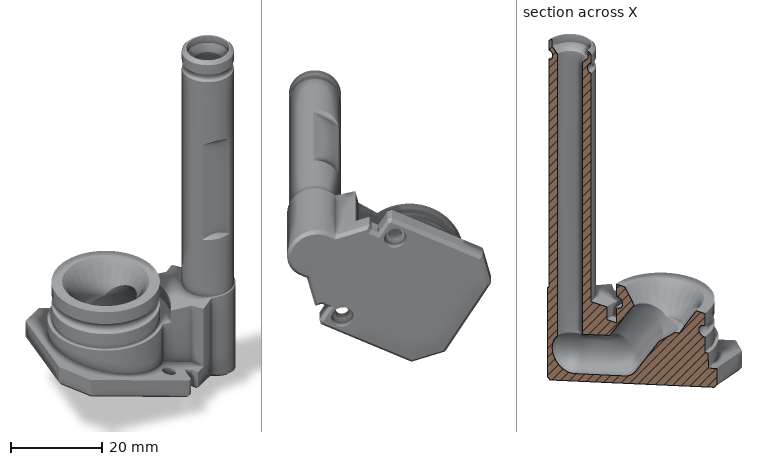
import cadquery as cq
import math

slope = math.radians(15)
total_height = 85.45

plate_half_width = 30.2 / 2
plate_front = -plate_half_width
plate_shoulder = 14.35
front_corner_cut = 5.4
rear_corner_cut = 0.8
notch_x = 10.5
wing_tip_x = 11.5
wing_tip_y = 17.2
plate_thickness = 4.7
edge_chamfer = 0.8

hole_diameter = 3.1
hole_x = 11.2
hole_y = 10.4
counterbore_diameter = 4.95
counterbore_top = 7.3

tube_y = 24.3
tube_radius = 11.45 / 2
tube_top_chamfer = 0.7
collar_height = 3.2
tube_groove_width = 2.05
tube_neck_radius = 9.5 / 2
tube_groove_fillet = 0.8
block_radius = 12.2 / 2
block_top = 23.1
block_neck_half_width = 7.2
block_wide_half_width = 9.2

flat_distance = 9.5 / 2
flat_bottom = 38.2
flat_top = 63.4

cup_top = 29.6
cup_radius = 23.8 / 2
cup_base_radius = 12.8
cup_step_z = 19.9
cup_clearance_radius = 14.35
cup_groove_top = 26.4
cup_groove_width = 2.7
cup_groove_depth = 1.6
mouth_radius = 9.6
throat_radius = 4.95
throat_z = 22.5

channel_radius = 9.5 / 2
channel_entry = (-2.05, 27.0)
channel_knee = (4.1, 21.9)
channel_bend = (10.7, 12.0)
tube_bore_radius = 6.6 / 2
tube_mouth_radius = 9.5 / 2
tube_mouth_depth = 1.9

fall = math.tan(slope)
block_back = tube_y + block_radius
lowest_y = block_back - edge_chamfer * math.cos(slope)
underside_z = lowest_y * fall
plate_top_z = underside_z + plate_thickness / math.cos(slope)


def sloped_slab(bottom_z, top_z):
    """Slab across the part between two planes parallel to the base slope."""
    front = 2 * plate_front
    back = 2 * block_back
    side = [
        (front, bottom_z - front * fall),
        (back, bottom_z - back * fall),
        (back, top_z - back * fall),
        (front, top_z - front * fall),
    ]
    return cq.Workplane("YZ").polyline(side).close().extrude(2 * plate_half_width, both=True)


def above_underside(outline, top):
    """Extrude an outline from the sloped underside up to a flat top."""
    prism = outline.extrude(top + total_height).translate((0, 0, -total_height))
    return prism.intersect(sloped_slab(underside_z, underside_z + 2 * total_height))


def cup_cylinder(radius, bottom, top):
    return cq.Workplane("XY").workplane(offset=bottom).circle(radius).extrude(top - bottom)


def revolve_about(axis_y, profile):
    """Revolve a closed (radius, Z) sketch about the vertical axis at the given Y."""
    return profile.close().revolve(360, (0, 0, 0), (0, 1, 0)).translate((0, axis_y, 0))


wing_line = wing_tip_x + wing_tip_y
wing_start = (block_radius, wing_line - block_radius)


def mirrored_outline(right_side):
    """Close a right-hand run of points, ending at the wing start, round the back of the tube."""
    left_side = [(-x, y) for x, y in reversed(right_side)]
    return (
        cq.Workplane("XY")
        .polyline(right_side)
        .lineTo(block_radius, tube_y)
        .threePointArc((0, block_back), (-block_radius, tube_y))
        .lineTo(*left_side[0])
        .polyline(left_side[1:], includeCurrent=True)
        .close()
    )


def plate():
    outline = mirrored_outline([
        (plate_half_width - front_corner_cut, plate_front),
        (plate_half_width, plate_front + front_corner_cut),
        (plate_half_width, plate_shoulder - rear_corner_cut),
        (plate_half_width - rear_corner_cut, plate_shoulder),
        (notch_x, plate_shoulder),
        (notch_x, wing_tip_y - (wing_tip_x - notch_x)),
        (wing_tip_x, wing_tip_y),
        wing_start,
    ])
    return above_underside(outline, block_top).intersect(sloped_slab(underside_z, plate_top_z))


def foot_block():
    wide_y = wing_line - block_wide_half_width
    neck_y = wide_y - (block_wide_half_width - block_neck_half_width)
    outline = mirrored_outline([
        (block_neck_half_width, 0),
        (block_neck_half_width, neck_y),
        (block_wide_half_width, wide_y),
        wing_start,
    ])
    block = above_underside(outline, block_top)
    return block.cut(cup_cylinder(cup_clearance_radius, cup_step_z, block_top))


def cup():
    base = above_underside(cq.Workplane("XY").circle(cup_base_radius), cup_step_z)
    neck = cup_cylinder(cup_radius, cup_step_z, cup_top)
    return base.union(neck).cut(cup_groove())


def cup_groove():
    """Round-bottomed ring groove."""
    round_radius = cup_groove_width / 2
    bottom = cup_groove_top - cup_groove_width
    round_start = cup_radius - cup_groove_depth + round_radius
    outside = cup_radius + round_radius
    profile = (
        cq.Workplane("XZ")
        .moveTo(outside, bottom)
        .lineTo(round_start, bottom)
        .threePointArc((cup_radius - cup_groove_depth, bottom + round_radius), (round_start, cup_groove_top))
        .lineTo(outside, cup_groove_top)
    )
    return revolve_about(0, profile)


def tube():
    height = total_height - underside_z
    shaft = (
        cq.Workplane("XY", origin=(0, tube_y, underside_z))
        .circle(tube_radius)
        .extrude(height)
        .faces(">Z")
        .chamfer(tube_top_chamfer)
    )
    shaft = shaft.cut(tube_groove())
    for side in (1, -1):
        shaft = shaft.cut(flat_cutter(side))
    return shaft


def tube_groove():
    """Ring groove below the collar with a fillet in both corners."""
    top = total_height - collar_height
    bottom = top - tube_groove_width
    fillet_end = tube_neck_radius + tube_groove_fillet
    middle = tube_groove_fillet * (1 - math.sqrt(0.5))
    outside = tube_radius + tube_groove_fillet
    profile = (
        cq.Workplane("XZ")
        .moveTo(outside, bottom)
        .lineTo(fillet_end, bottom)
        .threePointArc(
            (tube_neck_radius + middle, bottom + middle),
            (tube_neck_radius, bottom + tube_groove_fillet),
        )
        .lineTo(tube_neck_radius, top - tube_groove_fillet)
        .threePointArc((tube_neck_radius + middle, top - middle), (fillet_end, top))
        .lineTo(outside, top)
    )
    return revolve_about(tube_y, profile)


def flat_cutter(side):
    """Side flat: a 45 degree ramp at its top, a cone around the tube axis at its foot."""
    depth = tube_radius - flat_distance
    outer = tube_radius + depth
    profile = [
        (side * flat_distance, flat_bottom),
        (side * outer, flat_bottom),
        (side * outer, flat_top + 2 * depth),
        (side * flat_distance, flat_top),
    ]
    cutter = (
        cq.Workplane("XZ").polyline(profile).close()
        .extrude(tube_radius, both=True)
        .translate((0, tube_y, 0))
    )
    cone = revolve_about(tube_y, cq.Workplane("XZ").polyline([
        (0, flat_bottom),
        (tube_radius, flat_bottom),
        (0, flat_bottom + tube_radius),
    ]))
    return cutter.cut(cone)


def mounting_holes():
    places = [(hole_x, hole_y), (-hole_x, hole_y)]
    level = cq.Workplane("XY").pushPoints(places)
    through = level.circle(hole_diameter / 2).extrude(cup_step_z)
    counterbores = level.circle(counterbore_diameter / 2).extrude(counterbore_top)
    return through.union(counterbores)


def channel_leg(start, end):
    """Round channel in the YZ plane between two (Y, Z) points, with a ball at its end."""
    run = cq.Vector(0, end[0] - start[0], end[1] - start[1])
    leg = cq.Solid.makeCylinder(channel_radius, run.Length, cq.Vector(0, *start), run)
    ball = cq.Workplane("XY").sphere(channel_radius).translate((0, *end))
    return cq.Workplane(leg).union(ball)


def passage():
    """Flow passage from the cup mouth, under the foot block and up the tube."""
    bend_y, bend_z = channel_bend
    foot_z = bend_z - (tube_y - bend_y) * fall
    mouth = revolve_about(0, cq.Workplane("XZ").polyline([
        (0, throat_z),
        (throat_radius, throat_z),
        (mouth_radius, cup_top),
        (0, cup_top),
    ]))
    bore_top = total_height - tube_mouth_depth - (tube_mouth_radius - tube_bore_radius)
    bore = revolve_about(tube_y, cq.Workplane("XZ").polyline([
        (0, foot_z),
        (tube_bore_radius, foot_z),
        (tube_bore_radius, bore_top),
        (tube_mouth_radius, total_height - tube_mouth_depth),
        (tube_mouth_radius, total_height),
        (0, total_height),
    ]))
    cavity = mouth.union(bore)
    path = [channel_entry, channel_knee, channel_bend, (tube_y, foot_z)]
    for start, end in zip(path, path[1:]):
        cavity = cavity.union(channel_leg(start, end))
    return cavity


def is_underside(face):
    """True for the flat sloped face that closes the part at the bottom."""
    faces_down = face.normalAt().z < -math.cos(2 * slope)
    return faces_down and face.Center().z < underside_z


base = plate().union(foot_block()).clean()
underside = [face for face in base.faces().vals() if is_underside(face)]
base = base.newObject(underside).edges().chamfer(edge_chamfer)

body = base.union(cup()).union(tube())
result = body.cut(passage()).cut(mounting_holes())